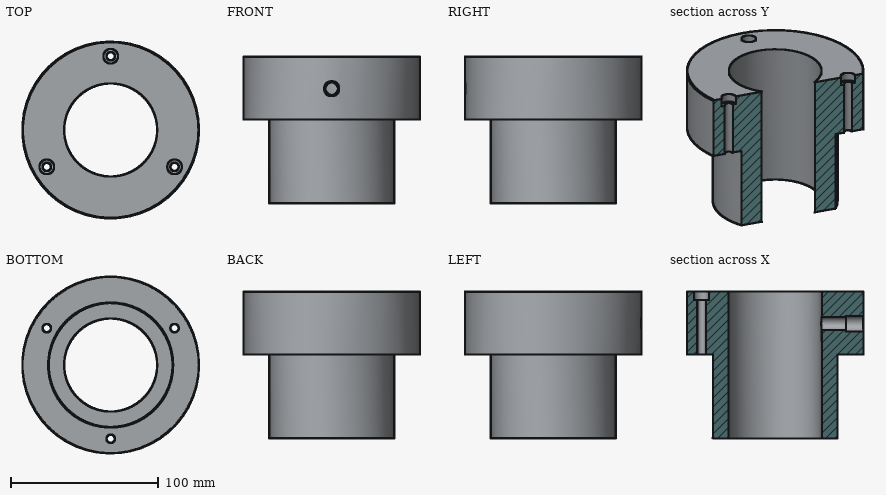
import cadquery as cq

flange_diameter = 120.0
flange_height = 43.0
barrel_diameter = 85.0
bore_diameter = 63.0
total_height = 100.0
edge_chamfer = 0.5

screw_count = 3
screw_circle_radius = 50.0
first_screw_angle = 90
screw_hole_diameter = 5.5
counterbore_diameter = 10.0
counterbore_depth = 5.8

side_hole_diameter = 8.5
side_counterbore_diameter = 10.2
side_counterbore_depth = 12.0
side_hole_z = total_height - 22.0

bore_radius = bore_diameter / 2
flange_radius = flange_diameter / 2


def make_body():
    barrel = cq.Workplane("XY").circle(barrel_diameter / 2).extrude(total_height)
    barrel = barrel.faces("<Z").chamfer(edge_chamfer)
    flange = (
        cq.Workplane("XY", origin=(0, 0, total_height - flange_height))
        .circle(flange_radius)
        .extrude(flange_height)
        .faces(">Z")
        .chamfer(edge_chamfer)
    )
    bore = cq.Workplane("XY").circle(bore_radius).extrude(total_height)
    return barrel.union(flange).cut(bore)


def cut_screw_holes(body):
    return (
        body.faces(">Z")
        .workplane(origin=(0, 0, total_height))
        .polarArray(screw_circle_radius, first_screw_angle, 360, screw_count)
        .cboreHole(screw_hole_diameter, counterbore_diameter, counterbore_depth, flange_height)
    )


def make_side_hole():
    outer_plane = cq.Workplane("XZ", origin=(0, -flange_radius, side_hole_z))
    hole = outer_plane.circle(side_hole_diameter / 2).extrude(-flange_radius)
    counterbore = outer_plane.circle(side_counterbore_diameter / 2).extrude(-side_counterbore_depth)
    return hole.union(counterbore)


result = cut_screw_holes(make_body()).cut(make_side_hole())